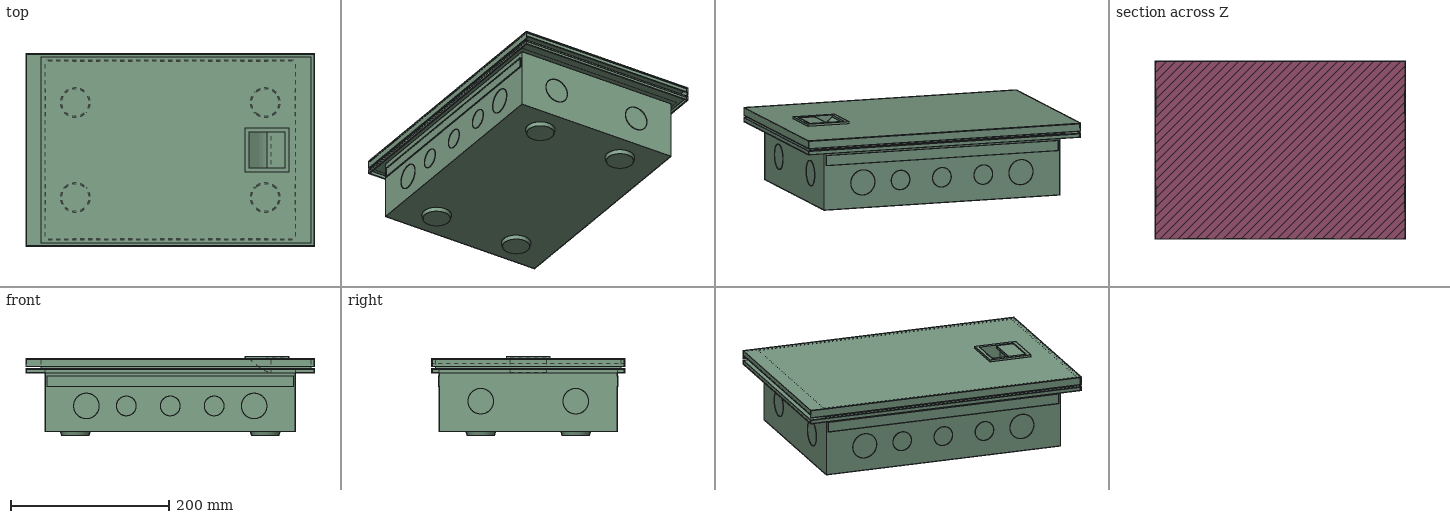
import cadquery as cq

length = 365.2
width = 244.0
sheet = 1.2

box_bottom = 5.0
flange_bottom = 79.4
flange_top = 84.7
lid_bottom = 87.2
lid_top = 97.6
bezel_top = 100.2

box_length = 316.0
box_width = 225.0

collar_left_inset = 19.2
collar_inset = 4.6
collar_width = width - 2 * collar_inset
collar_length = length - collar_left_inset - collar_inset

end_skirt_bottom = 91.0

strip_length = 311.0
strip_bottom = 62.4
strip_top = 75.4
strip_thickness = 1.2

knockout_depth = 0.5
large_knockout = 32.3
small_knockout = 25.0
long_side_knockout_z = 37.6
short_side_knockout_z = 43.6
large_knockout_x = 106.0
small_knockout_x = 55.5
short_side_knockout_y = 60.0

foot_x = 120.0
foot_y = 60.0
foot_top_diameter = 37.6
foot_base_diameter = 34.6

latch_x = 122.2
bezel_size = 55.2
opening_size = 45.6
pad_top = lid_top + 1.6
pad_thickness = 3.0
pad_overhang = 5.0

scoop_rim_z = lid_top
scoop_knee_run = 13.0
scoop_knee_z = 86.6
scoop_mid_run = 20.0
scoop_mid_z = 82.2
scoop_floor_z = 79.8


def block(size_x, size_y, bottom, top, x=0.0, y=0.0):
    """Upright block centred on (x, y) between two heights."""
    return (
        cq.Workplane("XY", origin=(x, y, bottom))
        .rect(size_x, size_y)
        .extrude(top - bottom)
    )


def make_lid():
    """Sheet-metal lid, open underneath, with a slot below its -X end skirt."""
    cavity_top = lid_top - sheet
    inner_width = width - 2 * sheet
    lid = block(length, width, lid_bottom, lid_top)
    lid = lid.cut(block(length - 2 * sheet, inner_width, lid_bottom, cavity_top))
    end_slot = block(2 * sheet, inner_width, lid_bottom, end_skirt_bottom, x=-length / 2)
    return lid.cut(end_slot)


def make_flange():
    """Sheet-metal flange around the box: a flat plate with a skirt turned down all round."""
    flange = block(length, width, flange_bottom, flange_top)
    cavity_top = flange_top - sheet
    return flange.cut(block(length - 2 * sheet, width - 2 * sheet, flange_bottom, cavity_top))


def make_collar():
    """Raised block that carries the lid on the flange."""
    collar_x = (collar_left_inset - collar_inset) / 2
    return block(collar_length, collar_width, flange_top, lid_top - sheet, x=collar_x)


def make_strips():
    """Strip along each long side of the box, as one block through it."""
    return block(strip_length, box_width + 2 * strip_thickness, strip_bottom, strip_top)


def make_foot(x, y):
    """Round foot under the box, tapering downwards."""
    return (
        cq.Workplane("XY", origin=(x, y, 0))
        .circle(foot_base_diameter / 2)
        .workplane(offset=box_bottom)
        .circle(foot_top_diameter / 2)
        .loft()
    )


def long_side_recess(x, diameter):
    """Knockout discs at one X position, for both long sides."""
    discs = cq.Workplane("XZ", origin=(x, 0, long_side_knockout_z)).circle(diameter / 2)
    core = block(box_length, box_width - 2 * knockout_depth, box_bottom, flange_bottom)
    return discs.extrude(box_width / 2, both=True).cut(core)


def short_side_recess(y):
    """Knockout discs at one Y position, for both short sides."""
    discs = cq.Workplane("YZ", origin=(0, y, short_side_knockout_z)).circle(large_knockout / 2)
    core = block(box_length - 2 * knockout_depth, box_width, box_bottom, flange_bottom)
    return discs.extrude(box_length / 2, both=True).cut(core)


def make_latch_pocket():
    """Finger pocket: a scooped floor running under the edge of the push pad."""
    left = latch_x - opening_size / 2
    right = latch_x + opening_size / 2
    wall_x = latch_x + pad_overhang
    pad_bottom = pad_top - pad_thickness
    return (
        cq.Workplane("XZ")
        .moveTo(left, bezel_top)
        .lineTo(left, scoop_rim_z)
        .lineTo(left + scoop_knee_run, scoop_knee_z)
        .threePointArc((left + scoop_mid_run, scoop_mid_z), (wall_x, scoop_floor_z))
        .lineTo(wall_x, pad_bottom)
        .lineTo(latch_x, pad_bottom)
        .lineTo(latch_x, pad_top)
        .lineTo(right, pad_top)
        .lineTo(right, bezel_top)
        .close()
        .extrude(opening_size / 2, both=True)
    )


result = block(box_length, box_width, box_bottom, flange_top)
result = result.union(make_strips())
for side_x in (-1, 1):
    for side_y in (-1, 1):
        result = result.union(make_foot(side_x * foot_x, side_y * foot_y))

for side in (-1, 1):
    result = result.cut(long_side_recess(side * large_knockout_x, large_knockout))
    result = result.cut(long_side_recess(side * small_knockout_x, small_knockout))
    result = result.cut(short_side_recess(side * short_side_knockout_y))
result = result.cut(long_side_recess(0.0, small_knockout))

result = result.union(make_flange())
result = result.union(make_collar())
result = result.union(make_lid())
result = result.union(block(bezel_size, bezel_size, lid_top, bezel_top, x=latch_x))
result = result.cut(make_latch_pocket())